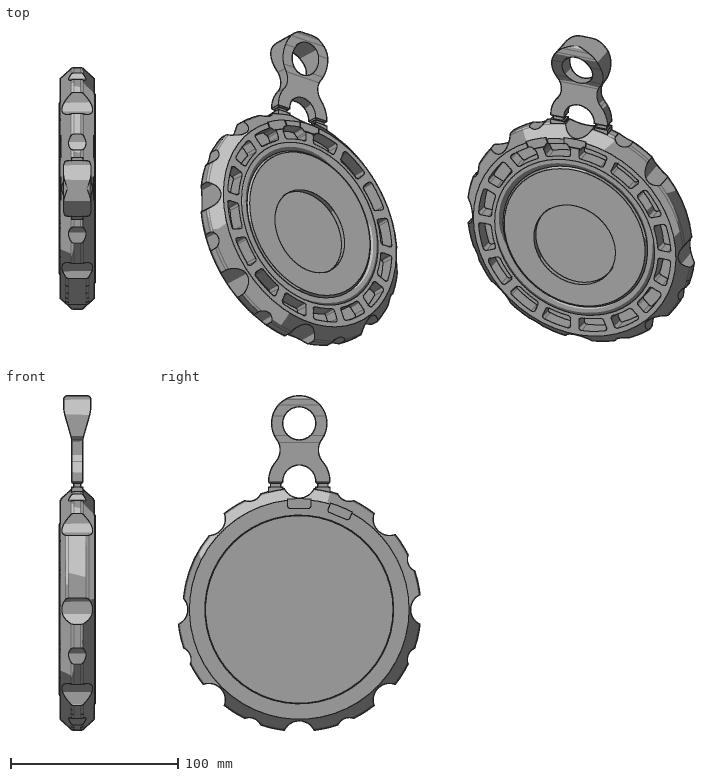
import cadquery as cq
import math

overall_height = 200.4

body_half_thickness = 10.2
rim_radius = 73.0
recessed_rim_radius = 69.7
rim_corner_half_width = 3.0
rim_blend_length = 1.0
recessed_rim_start = 135
recessed_rim_span = 45
back_plate_radius = 56.5
back_plate_chamfer = 0.5
overall_half_thickness = 11.0

bead_outer_radius = 51.9
bead_crest_radius = 49.9
groove_radius = 46.9
groove_depth = 1.0
centre_disc_radius = 45.7

recess_radius = 26.5
recess_centre_z = -5.0
recess_depth = 3.0

large_scallop_radius = 9.8
large_scallop_pitch_radius = 76.5
large_scallop_step = 45
small_scallop_radius = 7.6
small_scallop_pitch_radius = 78.3

pocket_count = 16
pocket_inner_radius = 54.1
pocket_outer_radius = 62.5
pocket_spoke_width = 5.5
pocket_corner_radius = 1.8
pocket_depth = 8.0
pocket_draft_inset = 0.5

label_angles = (67.5, 90)
label_half_width = 7.0
label_inner_radius = 60.5
label_corner = 1.0
label_depth = 0.6
label_wall = 2.0
label_wall_corner = 7.2
trimmed_pocket_corner_radius = 1.6

link_half_thickness = 3.5
eye_half_thickness = 8.2
eye_outer_radius = 16.6
eye_hole_radius = 9.8
yoke_outer_radius = 18.5
waist_radius = 10.8
lower_blend_z = (100.0, 104.2)
upper_blend_z = (115.6, 122.2)
eye_top_round = 2.5

leg_bottom_z = 75.3
leg_chamfer = 0.8
base_top_z = 73.1
base_bottom_z = 68.1
joint_inset = 1.2

cut_length = 4 * overall_half_thickness
tip_drop = (rim_radius**2 + large_scallop_pitch_radius**2 - large_scallop_radius**2) / (
    2 * large_scallop_pitch_radius
)
link_top_z = overall_height - tip_drop
eye_centre_z = link_top_z - eye_outer_radius
yoke_centre_z = large_scallop_pitch_radius


def rotate_about_axis(shape, angle):
    return shape.rotate((0, 0, 0), (1, 0, 0), angle)


def through_prism(outline):
    """Extrude a YZ outline along X so that it passes right through the part."""
    return outline.extrude(cut_length).translate((-cut_length / 2, 0, 0))


def bevelled_disc(radius):
    """Disc with a bevelled and blended edge that reaches the given radius."""
    corner = rim_corner_half_width + rim_radius - radius
    face_radius = radius + corner - body_half_thickness
    diagonal = rim_blend_length * math.sqrt(0.5)
    turn = math.radians(45)
    blend_radius = rim_blend_length / math.tan(turn / 2)
    middle_gap = blend_radius * (1 / math.cos(turn / 2) - 1)
    middle_x = corner - middle_gap * math.sin(turn / 2)
    middle_radius = radius - middle_gap * math.cos(turn / 2)
    profile = (
        cq.Workplane("XY")
        .moveTo(-body_half_thickness, 0)
        .lineTo(-body_half_thickness, face_radius)
        .lineTo(-corner - diagonal, radius - diagonal)
        .threePointArc((-middle_x, middle_radius), (-corner + rim_blend_length, radius))
        .lineTo(corner - rim_blend_length, radius)
        .threePointArc((middle_x, middle_radius), (corner + diagonal, radius - diagonal))
        .lineTo(body_half_thickness, face_radius)
        .lineTo(body_half_thickness, 0)
        .close()
    )
    return profile.revolve(360, (0, 0, 0), (1, 0, 0))


def make_body():
    sector = (
        cq.Workplane("XY")
        .center(0, rim_radius)
        .rect(2 * body_half_thickness, rim_radius / 2)
        .revolve(recessed_rim_span, (0, -rim_radius, 0), (1, -rim_radius, 0))
    )
    lowered_zone = rotate_about_axis(sector, recessed_rim_start).cut(bevelled_disc(recessed_rim_radius))
    disc = bevelled_disc(rim_radius).cut(lowered_zone)
    back_plate = (
        cq.Workplane("YZ")
        .circle(back_plate_radius)
        .extrude(overall_half_thickness)
        .faces(">X")
        .chamfer(back_plate_chamfer)
    )
    return disc.union(back_plate)


def bead_ring(outer_edge):
    """Ring closed by the bead and groove surface, reaching from it to the X given by outer_edge."""
    return (
        cq.Workplane("XY")
        .moveTo(outer_edge, bead_outer_radius)
        .lineTo(-body_half_thickness, bead_outer_radius)
        .threePointArc(
            (-overall_half_thickness, bead_crest_radius),
            (groove_depth - body_half_thickness, groove_radius),
        )
        .lineTo(-body_half_thickness, centre_disc_radius)
        .lineTo(outer_edge, centre_disc_radius)
        .close()
        .revolve(360, (0, 0, 0), (1, 0, 0))
    )


def scallop(radius, pitch_radius, angle):
    cutter = through_prism(cq.Workplane("YZ").center(pitch_radius, 0).circle(radius))
    return rotate_about_axis(cutter, angle)


def cut_scallops(body):
    recessed_rim_middle = recessed_rim_start + recessed_rim_span / 2
    for index in range(360 // large_scallop_step):
        angle = index * large_scallop_step
        body = body.cut(scallop(large_scallop_radius, large_scallop_pitch_radius, angle))
        between = angle + large_scallop_step / 2
        if between != recessed_rim_middle:
            body = body.cut(scallop(small_scallop_radius, small_scallop_pitch_radius, between))
    return body


def label_block(angle, margin, corner):
    """Prism through the disc with a label outline grown by the margin and bevelled inner corners."""
    inner = label_inner_radius - margin
    half_width = label_half_width + margin
    block = through_prism(
        cq.Workplane("YZ").polyline([
            (inner, half_width - corner),
            (inner + corner, half_width),
            (rim_radius, half_width),
            (rim_radius, -half_width),
            (inner + corner, -half_width),
            (inner, corner - half_width),
        ]).close()
    )
    return rotate_about_axis(block, angle)


def pocket_outline(middle_angle, inset):
    """Wire around a pocket lying along +Y, shrunk by the inset and clear of nearby label recesses."""
    half_step = math.radians(180 / pocket_count)
    spoke_offset = (pocket_spoke_width / 2 + inset) / math.sin(half_step)
    half_spread = rim_radius * math.tan(half_step)
    wedge = through_prism(
        cq.Workplane("YZ").polyline([
            (spoke_offset, 0),
            (spoke_offset + rim_radius, half_spread),
            (spoke_offset + rim_radius, -half_spread),
        ]).close()
    )
    ring = through_prism(
        cq.Workplane("YZ").circle(pocket_outer_radius - inset).circle(pocket_inner_radius + inset)
    )
    prism = rotate_about_axis(ring, 180).intersect(wedge)
    corner_radius = pocket_corner_radius
    for angle in label_angles:
        if abs(angle - middle_angle) < 360 / pocket_count:
            prism = prism.cut(label_block(angle - middle_angle, label_wall + inset, label_wall_corner))
            corner_radius = trimmed_pocket_corner_radius
    return prism.edges("|X").fillet(corner_radius - inset).faces("<X").wires().val()


def pocket_cutter(index):
    """Drafted ring sector between two parallel-sided spokes."""
    middle_angle = (index + 0.5) * 360 / pocket_count
    mouth = pocket_outline(middle_angle, 0)
    floor = pocket_outline(middle_angle, pocket_draft_inset).translate(cq.Vector(pocket_depth, 0, 0))
    cutter = cq.Workplane(cq.Solid.makeLoft([mouth, floor], True))
    return rotate_about_axis(cutter.translate((cut_length / 2 - body_half_thickness, 0, 0)), middle_angle)


def cut_labels(body):
    core = cq.Workplane("YZ").circle(rim_radius).extrude(body_half_thickness - label_depth, both=True)
    for angle in label_angles:
        body = body.cut(label_block(angle, 0, label_corner).cut(core))
    return body


def link_side_profile():
    """Thickness of the link over its height: thin neck flaring to the thick eye."""
    neck_corner_z = sum(lower_blend_z) / 2
    eye_corner_z = sum(upper_blend_z) / 2
    slope = (eye_half_thickness - link_half_thickness) / (eye_corner_z - neck_corner_z)
    taper_start = link_half_thickness + slope * (lower_blend_z[1] - neck_corner_z)
    taper_end = link_half_thickness + slope * (upper_blend_z[0] - neck_corner_z)
    return (
        cq.Workplane("XZ")
        .moveTo(0, leg_bottom_z)
        .lineTo(link_half_thickness, leg_bottom_z)
        .lineTo(link_half_thickness, lower_blend_z[0])
        .tangentArcPoint((taper_start, lower_blend_z[1]), relative=False)
        .lineTo(taper_end, upper_blend_z[0])
        .tangentArcPoint((eye_half_thickness, upper_blend_z[1]), relative=False)
        .lineTo(eye_half_thickness, link_top_z - eye_top_round)
        .tangentArcPoint((eye_half_thickness - eye_top_round, link_top_z), relative=False)
        .lineTo(0, link_top_z)
        .mirrorY()
        .extrude(4 * yoke_outer_radius)
        .translate((0, 2 * yoke_outer_radius, 0))
    )


def link_outline():
    """Eye and yoke circles joined by a waist with concave tangent sides."""
    spacing = eye_centre_z - yoke_centre_z
    to_yoke = yoke_outer_radius + waist_radius
    to_eye = eye_outer_radius + waist_radius
    waist_rise = (spacing**2 + to_yoke**2 - to_eye**2) / (2 * spacing)
    waist_y = math.sqrt(to_yoke**2 - waist_rise**2)
    waist_z = yoke_centre_z + waist_rise

    def disc(y, z, radius):
        return through_prism(cq.Workplane("YZ").center(y, z).circle(radius))

    web = through_prism(cq.Workplane("YZ").polyline([
        (0, yoke_centre_z),
        (waist_y, waist_z),
        (0, eye_centre_z),
        (-waist_y, waist_z),
    ]).close())
    for side in (-1, 1):
        web = web.cut(disc(side * waist_y, waist_z, waist_radius))
    yoke_height = yoke_centre_z - leg_bottom_z
    below_yoke = cq.Workplane("XY").box(
        cut_length, 4 * yoke_outer_radius, 2 * yoke_outer_radius, centered=(True, True, False)
    ).translate((0, 0, yoke_centre_z - 2 * yoke_outer_radius))
    legs = cq.Workplane("XY").box(
        cut_length, 2 * yoke_outer_radius, yoke_height, centered=(True, True, False)
    ).translate((0, 0, leg_bottom_z))
    outline = disc(0, yoke_centre_z, yoke_outer_radius).cut(below_yoke).union(legs).union(web)
    outline = outline.union(disc(0, eye_centre_z, eye_outer_radius))
    outline = outline.cut(disc(0, eye_centre_z, eye_hole_radius))
    return outline.cut(disc(0, yoke_centre_z, large_scallop_radius))


def make_link():
    link = link_outline().intersect(link_side_profile())
    return link.faces("<Z").edges().chamfer(leg_chamfer)


def joint(side):
    """Base block on the rim with a slimmer break-away stem up to one link leg."""
    width = yoke_outer_radius - large_scallop_radius
    middle_y = side * (yoke_outer_radius + large_scallop_radius) / 2
    base = (
        cq.Workplane("XY", origin=(0, middle_y, base_bottom_z))
        .rect(2 * link_half_thickness, width)
        .extrude(base_top_z - base_bottom_z)
    )
    stem = (
        cq.Workplane("XY", origin=(0, middle_y, base_top_z))
        .rect(2 * (link_half_thickness - joint_inset), width - 2 * joint_inset)
        .extrude(leg_bottom_z + leg_chamfer - base_top_z)
    )
    return base.union(stem)


body = cut_scallops(make_body())

groove_zone = (
    cq.Workplane("YZ", origin=(-body_half_thickness, 0, 0))
    .circle(bead_outer_radius)
    .circle(centre_disc_radius)
    .extrude(2 * groove_depth)
)
body = body.cut(groove_zone).union(bead_ring(2 * groove_depth - body_half_thickness))

recess = (
    cq.Workplane("YZ", origin=(-body_half_thickness, 0, recess_centre_z))
    .circle(recess_radius)
    .extrude(recess_depth)
)
body = body.cut(recess)

for index in range(pocket_count):
    body = body.cut(pocket_cutter(index))
body = cut_labels(body)

result = body.union(make_link()).union(joint(-1)).union(joint(1))